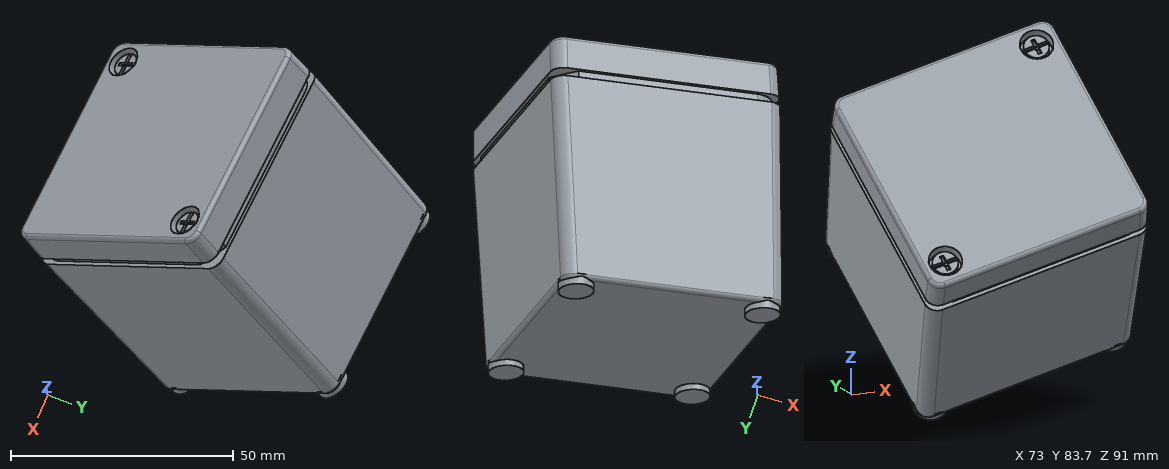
import cadquery as cq
TILT_X = 43.75
TILT_Y = -16.0
TILT_Z = -4.25

RIM_WIDTH = 55.0
BASE_HEIGHT = 49.5
LID_WIDTH = 54.8
LID_HEIGHT = 8.2
GAP = 2.0
DRAFT = 1.1
CORNER_RADIUS = 3.0
EDGE_RADIUS = 1.0

GASKET_WIDTH = 53.05
GASKET_RADIUS = 5.0
GASKET_BEVEL = 5.1

SCREW_OFFSET = 21.5
POCKET_DIAMETER = 7.55
POCKET_DEPTH = 3.0
HEAD_DIAMETER = 5.8
HEAD_RECESS = 0.9
SLOT_WIDTH = 0.8
SLOT_DEPTH = 1.0
CROSS_WIDTH = 0.8
CROSS_LENGTH = 3.8
CROSS_DEPTH = 0.7

FOOT_OFFSET = 22.4
FOOT_DIAMETER = 8.0
FOOT_HEIGHT = 1.5
FOOT_INSERT = 1.1

lid_bottom = BASE_HEIGHT + GAP
lid_top = lid_bottom + LID_HEIGHT
head_top = lid_top - HEAD_RECESS
head_bottom = lid_top - POCKET_DEPTH
screw_spots = [(SCREW_OFFSET, SCREW_OFFSET), (-SCREW_OFFSET, -SCREW_OFFSET)]
foot_spots = [(x * FOOT_OFFSET, y * FOOT_OFFSET) for x in (-1, 1) for y in (-1, 1)]


def drafted_block(width, height):
    """Square block tapering upward, with rounded corners and a rounded top edge."""
    block = cq.Workplane("XY").rect(width, width).extrude(height, taper=DRAFT)
    block = block.edges("not(#Z or |X or |Y)").fillet(CORNER_RADIUS)
    return block.faces(">Z").edges().fillet(EDGE_RADIUS)


def make_base():
    """Drafted block turned over, so that it narrows downward, with a seat for each foot."""
    base = drafted_block(RIM_WIDTH, BASE_HEIGHT)
    base = base.rotate((0, 0, 0), (1, 0, 0), 180).translate((0, 0, BASE_HEIGHT))
    seats = (
        cq.Workplane("XY")
        .pushPoints(foot_spots)
        .circle(FOOT_DIAMETER / 2)
        .extrude(FOOT_INSERT)
    )
    return base.cut(seats)


def make_lid():
    """Drafted block with a pocket for each screw head."""
    lid = drafted_block(LID_WIDTH, LID_HEIGHT).translate((0, 0, lid_bottom))
    pockets = (
        cq.Workplane("XY", origin=(0, 0, head_bottom))
        .pushPoints(screw_spots)
        .circle(POCKET_DIAMETER / 2)
        .extrude(POCKET_DEPTH)
    )
    return lid.cut(pockets)


def make_gasket():
    """Plate between base and lid, bevelled beside the screws and rounded at the other corners."""
    gasket = cq.Workplane("XY", origin=(0, 0, BASE_HEIGHT)).rect(GASKET_WIDTH, GASKET_WIDTH).extrude(GAP)
    gasket = gasket.edges("|Z and (<(1, 1, 0) or >(1, 1, 0))").chamfer(GASKET_BEVEL)
    return gasket.edges("|Z and (<(1, -1, 0) or >(1, -1, 0))").fillet(GASKET_RADIUS)


def make_screw(spot):
    """Screw head standing on the floor of its pocket."""
    head = cq.Workplane("XY").circle(HEAD_DIAMETER / 2).extrude(head_top - head_bottom)
    slot = cq.Workplane("XY").box(HEAD_DIAMETER, SLOT_WIDTH, 2 * SLOT_DEPTH)
    cross = cq.Workplane("XY").box(CROSS_WIDTH, CROSS_LENGTH, 2 * CROSS_DEPTH)
    drive = slot.union(cross).translate((0, 0, head_top - head_bottom))
    return head.cut(drive).translate((*spot, head_bottom))


def make_foot(spot):
    """Round foot, partly seated in the base."""
    foot = cq.Workplane("XY").circle(FOOT_DIAMETER / 2).extrude(FOOT_HEIGHT + FOOT_INSERT)
    return foot.translate((*spot, -FOOT_HEIGHT))


def tilted(body):
    """The solid of an upright body, turned to the enclosure's attitude."""
    for axis, angle in (((1, 0, 0), TILT_X), ((0, 1, 0), TILT_Y), ((0, 0, 1), TILT_Z)):
        body = body.rotate((0, 0, 0), axis, angle)
    return body.val()


base = make_base()
lid = make_lid()
gasket = make_gasket()
screws = [make_screw(spot) for spot in screw_spots]
feet = [make_foot(spot) for spot in foot_spots]

result = cq.Compound.makeCompound([tilted(body) for body in [base, lid, gasket, *screws, *feet]])